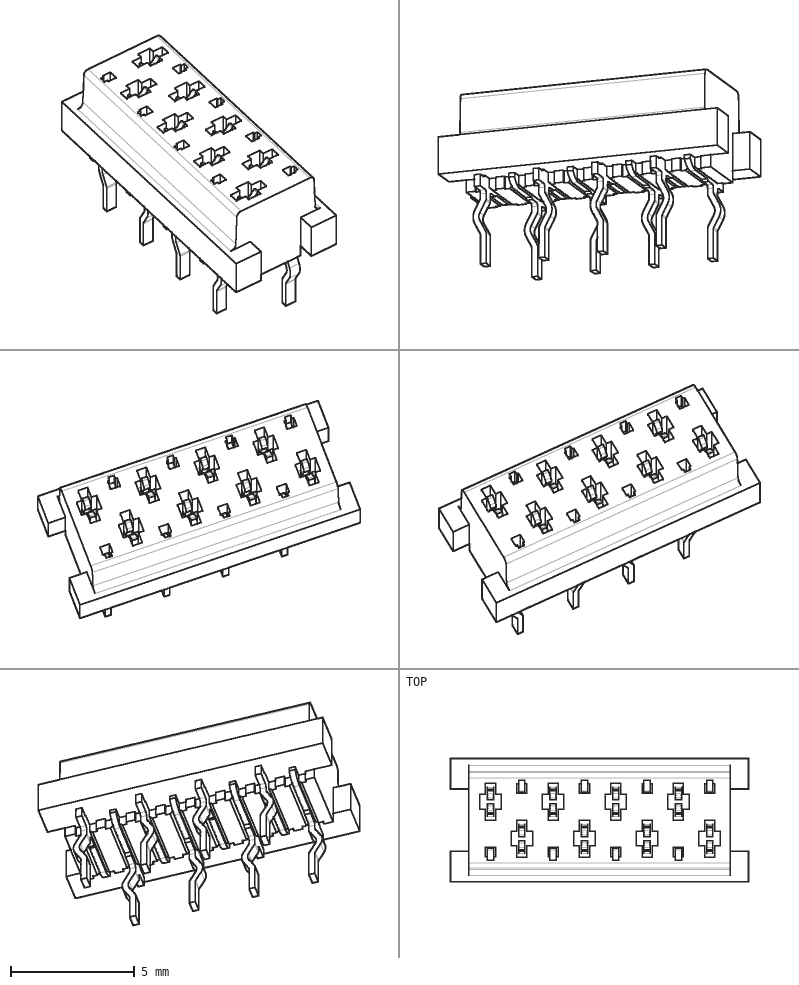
import cadquery as cq
import math

contact_count = 8
pitch = 1.27
contact_shift = 0.02
row_offset = 1.27

rail_length = 12.09
rail_outer = 2.5
rail_inner = 1.26
rail_height = 1.57
body_length = 10.6
body_top = rail_height + 1.91
body_bottom = -0.51
body_half_top = 1.93
body_half_foot = 1.98
top_radius = 0.22
foot_radius = 0.25

fork_offset = 0.75
cross_length = 1.5
cross_width = 0.41
cross_arm_length = 0.87
cross_arm_width = 0.59
cross_floor = rail_height + 0.36
window_inner = 1.1
window_outer = 1.47
window_floor = rail_height + 0.48

recess_width = 0.9
recess_depth = 0.12
groove_chamfer = 0.13

strip = 0.25
leg_width = 0.48
leg_bottom = -3.66
tail_end = 2.18
tail_top = -0.08
base_bottom = -0.58
leg_fillet = 0.12
buried_top = 0.12
post_inner = 1.14
post_outer = 1.62
post_top = rail_height + 1.09
post_round = 0.06
heel_fillet = 0.19
base_step_start = 0.48
base_step_end = 0.34
nose_start = 1.04
nose_middle = (1.43, -0.36)
nose_end = 1.62
nose_corner = -0.17

kink_top = -0.95
kink_bottom = -2.38
kink_angle = math.radians(28)
kink_outer_radius = 0.6
kink_inner_radius = kink_outer_radius - strip
elbow_radius = 0.13

fork_tip = body_top - 0.2
prong_outer = 0.51
prong_inner_foot = 0.27
prong_toe = 0.07
prong_taper = 0.42
tip_outer = 0.45
tip_middle = 0.4
tip_inner = 0.35
tip_round = 0.02
grip_outer = 0.17
grip_inner = 0.08
grip_top = fork_tip - 0.22
grip_height = 0.36

quarter_arc_inset = 1 - math.sqrt(0.5)


def block(x_size, y_min, y_max, z_min, z_max):
    """Box centred on X = 0, with its Y and Z limits given."""
    size_y = y_max - y_min
    size_z = z_max - z_min
    corner = (-x_size / 2, y_min, z_min)
    return cq.Workplane("XY").box(x_size, size_y, size_z, centered=False).translate(corner)


def make_housing():
    top_start = body_half_top - top_radius
    foot_outer = body_half_foot + foot_radius
    foot_inset = foot_radius * quarter_arc_inset
    top_inset = top_radius * quarter_arc_inset
    foot_mid = (body_half_foot + foot_inset, rail_height + foot_inset)
    top_mid = (body_half_top - top_inset, body_top - top_inset)
    half_section = (
        cq.Workplane("YZ")
        .moveTo(0, body_bottom)
        .lineTo(rail_inner, body_bottom)
        .lineTo(rail_inner, 0)
        .lineTo(foot_outer, 0)
        .lineTo(foot_outer, rail_height)
        .threePointArc(foot_mid, (body_half_foot, rail_height + foot_radius))
        .lineTo(body_half_top, body_top - top_radius)
        .threePointArc(top_mid, (top_start, body_top))
        .lineTo(0, body_top)
        .close()
        .extrude(body_length / 2, both=True)
    )
    rail = block(rail_length, rail_inner, rail_outer, 0, rail_height)
    half = half_section.union(rail)
    return half.union(half.mirror("XZ"))


def make_top_openings():
    """Cross opening over the fork and small window over the post, for a leg on the -Y side."""
    def across(length):
        return fork_offset - length / 2, fork_offset + length / 2

    cross = block(cross_width, *across(cross_length), cross_floor, body_top)
    arms = block(cross_arm_length, *across(cross_arm_width), cross_floor, body_top)
    window = block(cross_width, -window_outer, -window_inner, window_floor, body_top)
    post_slot = block(strip, -post_outer, -post_inner, post_top, body_top)
    return cross.union(arms).union(window).union(post_slot)


def make_underside_cuts():
    """V-shaped groove along Y and the shallow recesses at both of its ends."""
    groove = (
        cq.Workplane("XZ")
        .moveTo(-strip / 2 - groove_chamfer, body_bottom)
        .lineTo(strip / 2 + groove_chamfer, body_bottom)
        .lineTo(strip / 2, body_bottom + groove_chamfer)
        .lineTo(-strip / 2, body_bottom + groove_chamfer)
        .close()
        .extrude(rail_inner, both=True)
    )
    recess = block(recess_width, rail_inner - recess_depth, rail_inner, body_bottom, 0)
    return groove.union(recess).union(recess.mirror("XZ"))


def make_base():
    """Flat strip from the tail, past the leg, to the rounded nose under the fork."""
    heel_mid = heel_fillet * quarter_arc_inset
    leg_outer = row_offset + leg_width / 2
    leg_inner = row_offset - leg_width / 2
    shoulder = base_bottom - leg_fillet
    arc_mid = leg_fillet * quarter_arc_inset
    return (
        cq.Workplane("YZ")
        .moveTo(-tail_end, tail_top)
        .lineTo(-tail_end, base_bottom)
        .lineTo(-leg_outer - leg_fillet, base_bottom)
        .threePointArc((-leg_outer - arc_mid, base_bottom - arc_mid), (-leg_outer, shoulder))
        .lineTo(-leg_inner, shoulder)
        .threePointArc((-leg_inner + arc_mid, base_bottom - arc_mid),
                       (-leg_inner + leg_fillet, base_bottom))
        .lineTo(-base_step_start, base_bottom)
        .lineTo(-base_step_end, body_bottom)
        .lineTo(nose_start, body_bottom)
        .threePointArc(nose_middle, (nose_end, nose_corner))
        .lineTo(nose_end, buried_top)
        .lineTo(-post_outer, buried_top)
        .threePointArc((-post_outer - heel_mid, tail_top + heel_mid),
                       (-post_outer - heel_fillet, tail_top))
        .close()
        .extrude(strip / 2, both=True)
    )


def make_leg(side):
    """Leg with a kink toward -X (side = -1) or +X (side = 1)."""
    half = strip / 2
    kink_mid = (kink_top + kink_bottom) / 2
    reach = (kink_top - kink_mid) * math.tan(kink_angle)
    corner_shift = half * math.tan(kink_angle / 2)
    apex_shift = half / math.cos(kink_angle)
    top = base_bottom - leg_fillet
    right_elbows = [(half, kink_top + corner_shift), (half, kink_bottom - corner_shift)]
    left_elbows = [(-half, kink_bottom + corner_shift), (-half, kink_top - corner_shift)]
    outer_apex = (reach + apex_shift, kink_mid)
    inner_apex = (reach - apex_shift, kink_mid)
    leg = (
        cq.Workplane("XZ")
        .moveTo(half, top)
        .lineTo(*right_elbows[0])
        .lineTo(*outer_apex)
        .lineTo(*right_elbows[1])
        .lineTo(half, leg_bottom)
        .lineTo(-half, leg_bottom)
        .lineTo(*left_elbows[0])
        .lineTo(*inner_apex)
        .lineTo(*left_elbows[1])
        .lineTo(-half, top)
        .close()
        .extrude(leg_width / 2, both=True)
    )
    bends = [(outer_apex, kink_outer_radius), (inner_apex, kink_inner_radius)]
    bends += [(elbow, elbow_radius) for elbow in right_elbows + left_elbows]
    for (x, z), radius in bends:
        at_bend = cq.selectors.NearestToPointSelector((x, 0, z))
        leg = leg.edges(at_bend).fillet(radius)
    if side < 0:
        leg = leg.mirror("YZ")
    return leg.translate((0, -row_offset, 0))


def make_fork():
    """Two facing prongs with sloped lead-ins, standing on the floor of the cross opening."""
    toe_mid = prong_toe * quarter_arc_inset
    prong = (
        cq.Workplane("YZ")
        .moveTo(prong_outer + prong_toe, cross_floor)
        .threePointArc((prong_outer + toe_mid, cross_floor + toe_mid),
                       (prong_outer, cross_floor + prong_toe))
        .lineTo(prong_outer, fork_tip - prong_taper)
        .lineTo(tip_outer, fork_tip - tip_round)
        .threePointArc((tip_middle, fork_tip), (tip_inner, fork_tip - tip_round))
        .lineTo(grip_outer, grip_top)
        .threePointArc((grip_inner, grip_top - grip_height / 2), (grip_outer, grip_top - grip_height))
        .lineTo(prong_inner_foot, cross_floor)
        .close()
        .extrude(strip / 2, both=True)
    )
    return prong.union(prong.mirror("XZ")).translate((0, fork_offset, 0))


def make_post():
    post = block(strip, -post_outer, -post_inner, window_floor, post_top)
    return post.edges("|X and >Z and >Y").fillet(post_round)


def place(feature, index):
    """Move a feature to its contact position; every second contact faces the other way."""
    if index % 2:
        feature = feature.mirror("XZ")
    x = (index - (contact_count - 1) / 2) * pitch + contact_shift
    return feature.translate((x, 0, 0))


cuts = make_top_openings().union(make_underside_cuts())
base = make_base().union(make_fork()).union(make_post())

result = make_housing()
for index in range(contact_count):
    result = result.cut(place(cuts, index))
for index in range(contact_count):
    kink_side = 1 if index % 4 >= 2 else -1
    result = result.union(place(base, index))
    result = result.union(place(make_leg(kink_side), index))